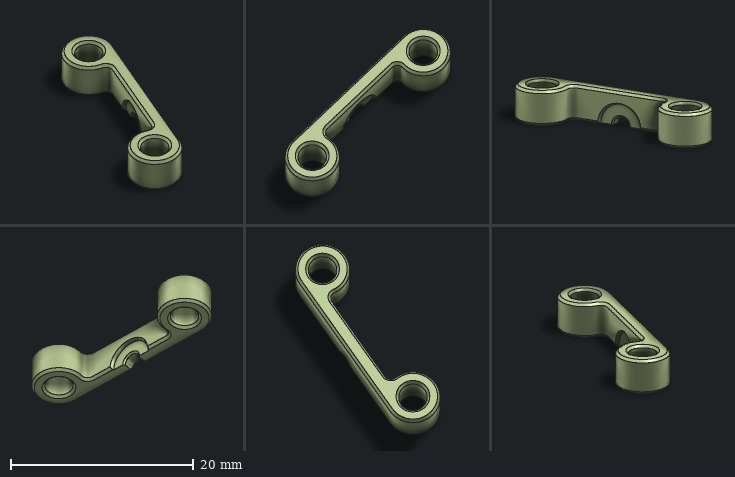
import cadquery as cq
import math

HEIGHT = 4.0
EYE_RADIUS = 3.0
EYE_SPACING = 18.0
EYE_HOLE_DIAMETER = 3.1
EYE_X = EYE_SPACING / 2
EDGE_CHAMFER = 0.3

BAR_FRONT_Y = 1.2
BAR_REAR_Y = EYE_RADIUS
LEFT_CORNER_RADIUS = 0.8
RIGHT_CORNER_RADIUS = 0.7

RECESS_MOUTH_RADIUS = 2.7
RECESS_FLOOR_RADIUS = 2.5
RECESS_DEPTH = 0.4
RECESS_FLOOR_Y = BAR_FRONT_Y + RECESS_DEPTH
PASSAGE_MOUTH_RADIUS = 1.2
PASSAGE_RADIUS = 1.0
PASSAGE_BEVEL_DEPTH = PASSAGE_MOUTH_RADIUS - PASSAGE_RADIUS
MOUTH_CLEARANCE = 0.5


def make_link_body():
    """Eyes and bar with rounded inside corners, chamfered along top and bottom."""
    eye_centres = [(-EYE_X, 0), (EYE_X, 0)]
    eyes = cq.Workplane("XY").pushPoints(eye_centres).circle(EYE_RADIUS).extrude(HEIGHT)
    bar_width = BAR_REAR_Y - BAR_FRONT_Y
    bar = (
        cq.Workplane("XY")
        .center(0, BAR_FRONT_Y + bar_width / 2)
        .rect(EYE_SPACING, bar_width)
        .extrude(HEIGHT)
    )
    body = eyes.union(bar).clean()

    corner_x = EYE_X - math.sqrt(EYE_RADIUS**2 - BAR_FRONT_Y**2)
    for x, radius in ((-corner_x, LEFT_CORNER_RADIUS), (corner_x, RIGHT_CORNER_RADIUS)):
        corner = cq.selectors.NearestToPointSelector((x, BAR_FRONT_Y, HEIGHT / 2))
        body = body.edges(corner).fillet(radius)

    body = (
        body.faces(">Z")
        .workplane(origin=(0, 0, HEIGHT))
        .pushPoints(eye_centres)
        .hole(EYE_HOLE_DIAMETER)
    )
    return body.faces("<Z or >Z").edges().chamfer(EDGE_CHAMFER)


def make_half_round_cutter():
    """Stepped solid of revolution about Y: tapered recess, bevel and passage."""
    mouth_start_y = BAR_FRONT_Y - MOUTH_CLEARANCE
    profile = [
        (0, mouth_start_y),
        (RECESS_MOUTH_RADIUS, mouth_start_y),
        (RECESS_MOUTH_RADIUS, BAR_FRONT_Y),
        (RECESS_FLOOR_RADIUS, RECESS_FLOOR_Y),
        (PASSAGE_MOUTH_RADIUS, RECESS_FLOOR_Y),
        (PASSAGE_RADIUS, RECESS_FLOOR_Y + PASSAGE_BEVEL_DEPTH),
        (PASSAGE_RADIUS, BAR_REAR_Y),
        (0, BAR_REAR_Y),
    ]
    return cq.Workplane("XY").polyline(profile).close().revolve(360, (0, 0, 0), (0, 1, 0))


result = make_link_body().cut(make_half_round_cutter())